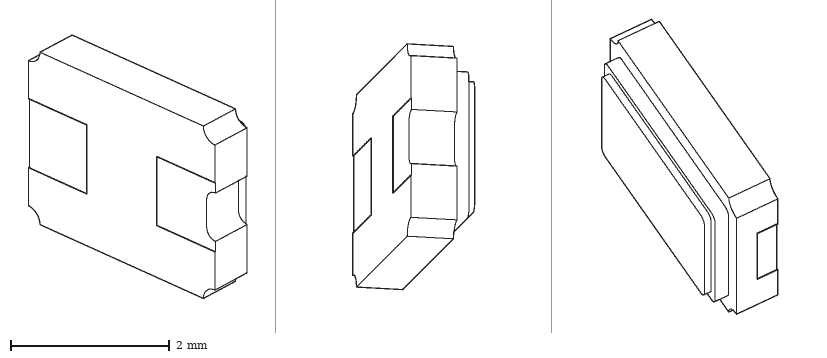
import cadquery as cq

length = 3.2
height = 2.5
total_depth = 0.9
plate_depth = 0.2
lid_depth = 0.1
body_depth = total_depth - plate_depth - lid_depth
corner_notch_radius = 0.2

plate_length = 2.8
plate_height = 1.9
cover_step = 0.1
cover_corner_radius = 0.1

pad_size = 1.0
pad_wrap = 0.3
pad_relief = 0.01

end_notch_height = 0.7
end_notch_depth = 0.15

front_y = -total_depth / 2
body_back_y = front_y + body_depth
plate_back_y = body_back_y + plate_depth


def block(size_x, size_z, start_y, depth):
    """Box centred on X and Z that extends from start_y toward +Y."""
    return cq.Workplane("XY").box(size_x, depth, size_z).translate((0, start_y + depth / 2, 0))


def rounded_block(size_x, size_z, start_y, depth):
    """Block with its four corners rounded."""
    return block(size_x, size_z, start_y, depth).edges("|Y").fillet(cover_corner_radius)


def make_body():
    """Block with a quarter-round notch along each corner."""
    notches = (
        cq.Workplane("XZ", origin=(0, front_y, 0))
        .rect(length, height, forConstruction=True)
        .vertices()
        .circle(corner_notch_radius)
        .extrude(-body_depth)
    )
    return block(length, height, front_y, body_depth).cut(notches)


def make_end_notch():
    """Slot through the body depth, its floor blended by quarter rounds."""
    return (
        cq.Workplane("XZ", origin=(length / 2, front_y, 0))
        .slot2D(end_notch_height, 2 * end_notch_depth, 90)
        .extrude(-body_depth)
    )


def make_face_recess(side):
    """Shallow square recess on the pad face, at the -X (-1) or +X (+1) end."""
    return block(pad_size, pad_size, front_y, pad_relief).translate(
        (side * (length - pad_size) / 2, 0, 0)
    )


def make_end_recess():
    """Continuation of the -X pad recess around onto the end face."""
    return block(pad_relief, pad_size, front_y, pad_wrap).translate(
        (-(length - pad_relief) / 2, 0, 0)
    )


body = make_body()
plate = rounded_block(plate_length, plate_height, body_back_y, plate_depth)
lid = rounded_block(
    plate_length - 2 * cover_step, plate_height - 2 * cover_step, plate_back_y, lid_depth
)
result = body.union(plate).union(lid).cut(make_end_notch()).cut(make_end_recess())
for end_side in (-1, 1):
    result = result.cut(make_face_recess(end_side))